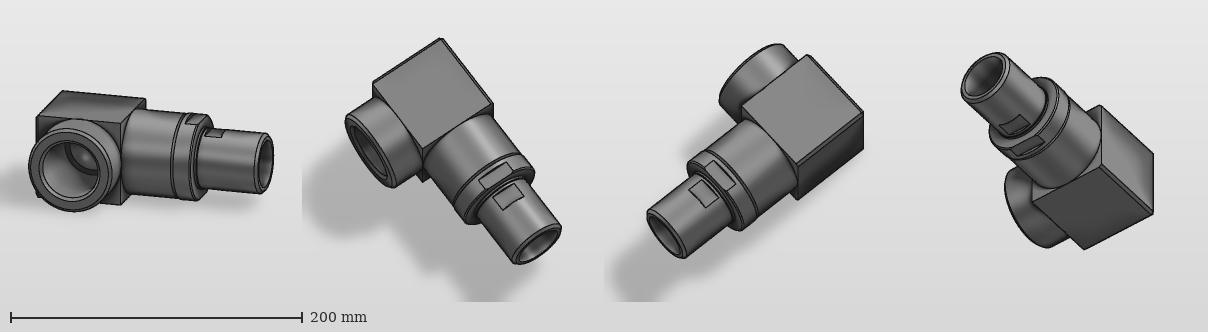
import cadquery as cq

edge_chamfer = 2.0

block_length = 61.2
block_height = 59.0
block_back = 29.8
block_front = -block_back

port_x = 32.0
port_radius = 59.7 / 2
port_bore_radius = 19.8
port_bore_chamfer = 2.0

barrel_radius = 29.3
barrel_end = 98.6
collar_radius = 59.7 / 2
collar_end = 110.9
collar_chamfer = 1.0
ring_radius = 21.5
ring_end = 113.0
ring_chamfer = 0.5
spigot_radius = 20.9
total_length = 156
passage_radius = 16.2

overall_depth = 84.2
port_face = collar_radius - overall_depth

collar_flat_start = 101.7
collar_flat_half_height = 27.5
spigot_flat_start = 114.8
spigot_flat_end = 126.7
spigot_flat_half_height = 18.9


def axial_cylinder(start, end, radius, chamfer=0):
    """Cylinder on the main axis with an optional chamfer at its +X end."""
    body = cq.Workplane("YZ", origin=(start, 0, 0)).circle(radius).extrude(end - start)
    if chamfer:
        body = body.faces(">X").chamfer(chamfer)
    return body


def port_cylinder(start, end, radius):
    """Cylinder on the port axis, from y = start forward to y = end."""
    return cq.Workplane("XZ", origin=(port_x, start, 0)).circle(radius).extrude(start - end)


def make_block():
    """Block with chamfers around its left and back faces, except at the barrel end."""
    block = cq.Workplane("XY").box(
        block_length, block_back - block_front, block_height, centered=(False, False, True)
    ).translate((0, block_front, 0))
    left_edges = block.faces("<X").edges()
    back_edges = block.faces(">Y").edges("|X")
    return left_edges.add(back_edges).chamfer(edge_chamfer)


def cut_flats(body, start, end, half_height):
    """Cut two opposite flats between two stations on the main axis."""
    width = 2 * collar_radius
    for side in (1, -1):
        cutter = cq.Workplane("XY").box(
            end - start, width, width, centered=(False, True, True)
        ).translate((start, 0, side * (half_height + width / 2)))
        body = body.cut(cutter)
    return body


barrel = axial_cylinder(block_length, barrel_end, barrel_radius, edge_chamfer)
collar = axial_cylinder(barrel_end, collar_end, collar_radius, collar_chamfer)
collar = cut_flats(collar, collar_flat_start, collar_end, collar_flat_half_height)
ring = axial_cylinder(collar_end, ring_end, ring_radius, ring_chamfer)
spigot = axial_cylinder(ring_end, total_length, spigot_radius, edge_chamfer)
spigot = cut_flats(spigot, spigot_flat_start, spigot_flat_end, spigot_flat_half_height)
port = port_cylinder(block_front, port_face, port_radius).faces("<Y").chamfer(edge_chamfer)

result = make_block()
for section in (barrel, collar, ring, spigot, port):
    result = result.union(section)

port_bore = port_cylinder(0, port_face, port_bore_radius)
mouth = (
    cq.Workplane("XZ", origin=(port_x, port_face + port_bore_chamfer, 0))
    .circle(port_bore_radius)
    .workplane(offset=port_bore_chamfer)
    .circle(port_bore_radius + port_bore_chamfer)
    .loft()
)

passage = (
    cq.Workplane("XY")
    .moveTo(port_x - passage_radius, 0)
    .radiusArc((port_x, passage_radius), passage_radius)
    .lineTo(total_length, passage_radius)
    .lineTo(total_length, 0)
    .close()
    .revolve(360, (0, 0, 0), (1, 0, 0))
)

for cavity in (port_bore, mouth, passage):
    result = result.cut(cavity)